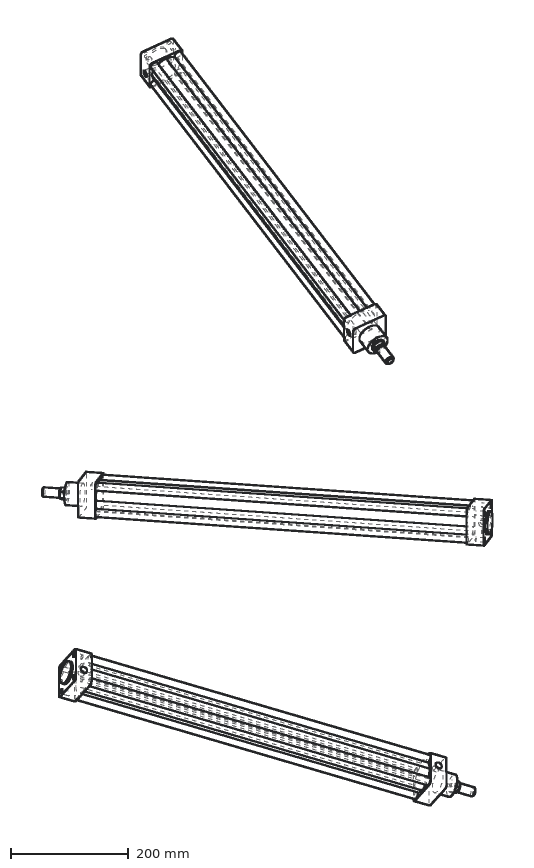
import cadquery as cq
import math


overall_length = 779.0
rear_boss_length = 4.0
front_cap_start = 680.0
cap_length = 29.5
collar_length = 27.0
lip_length = 2.0
shank_length = 9.0
shoulder_taper = 2.0

cap_side = 65.0
cap_corner_radius = 5.5
boss_diameter = 40.0
lip_diameter = 23.0
screw_pitch = 47.0
screw_hole_diameter = 8.0
screw_hole_depth = 15.5
port_diameter = 12.0
port_depth = 12.0
port_offset = 8.5

tube_diameter = 54.5
lobe_diameter = 14.0
ridge_width = 12.0

rod_diameter = 20.0
thread_diameter = 16.0
flats_width = 17.0
tip_chamfer = 2.0

rear_cap_end = rear_boss_length + cap_length
front_cap_end = front_cap_start + cap_length
collar_end = front_cap_end + collar_length
lip_end = collar_end + lip_length


def section_at(x):
    """Workplane across the cylinder: local x is +Y, local y is +Z, extruding toward +X."""
    return cq.Workplane("YZ", origin=(x, 0, 0))


def disc(x, diameter, length):
    return section_at(x).circle(diameter / 2).extrude(length)


def make_cap_block(x, length, port_z):
    """Square block with rounded long edges and a blind port in its -Y face."""
    block = section_at(x).rect(cap_side, cap_side).extrude(length)
    block = block.edges("|X").fillet(cap_corner_radius)
    port = (
        cq.Workplane("XZ", origin=(x + length / 2, -cap_side / 2, port_z))
        .circle(port_diameter / 2)
        .extrude(-port_depth)
    )
    return block.cut(port)


def make_rear_cap():
    cap = make_cap_block(rear_boss_length, cap_length, -port_offset)
    cap = cap.union(disc(0, boss_diameter, rear_boss_length))
    screw_holes = (
        section_at(rear_boss_length)
        .rect(screw_pitch, screw_pitch, forConstruction=True)
        .vertices()
        .circle(screw_hole_diameter / 2)
        .extrude(screw_hole_depth)
    )
    return cap.cut(screw_holes)


def make_front_cap():
    cap = make_cap_block(front_cap_start, cap_length, port_offset)
    cap = cap.union(disc(front_cap_end, boss_diameter, collar_length))
    return cap.union(disc(collar_end, lip_diameter, lip_length))


def make_ridge(length):
    """Low ridge of two flats tangent to the top of the tube, reaching down to the X axis."""
    half_width = ridge_width / 2
    tube_radius = tube_diameter / 2
    eave_height = math.sqrt(tube_radius**2 - half_width**2)
    crest_height = tube_radius**2 / eave_height
    outline = [
        (-half_width, 0),
        (half_width, 0),
        (half_width, eave_height),
        (0, crest_height),
        (-half_width, eave_height),
    ]
    return section_at(rear_cap_end).polyline(outline).close().extrude(length)


def make_barrel():
    """Round tube with a rod-like lobe along each corner and a ridge along each side."""
    length = front_cap_start - rear_cap_end
    lobes = (
        section_at(rear_cap_end)
        .rect(screw_pitch, screw_pitch, forConstruction=True)
        .vertices()
        .circle(lobe_diameter / 2)
        .extrude(length)
    )
    barrel = disc(rear_cap_end, tube_diameter, length).union(lobes)
    ridge = make_ridge(length)
    for side in range(4):
        barrel = barrel.union(ridge.rotate((0, 0, 0), (1, 0, 0), 90 * side))
    return barrel


def make_rod():
    """Shank with two wrench flats facing -Y and +Y, tapering to a chamfered threaded end."""
    shank_end = lip_end + shank_length
    shoulder_drop = (rod_diameter - thread_diameter) / 2
    shank = disc(lip_end, rod_diameter, shank_length)
    shank = shank.faces(">X").chamfer(shoulder_taper, shoulder_drop)

    flats_length = shank_length - shoulder_taper
    between_flats = section_at(lip_end).rect(flats_width, rod_diameter).extrude(flats_length)
    round_shoulder = disc(lip_end + flats_length, rod_diameter, shoulder_taper)
    shank = shank.intersect(between_flats.union(round_shoulder))

    thread = disc(shank_end, thread_diameter, overall_length - shank_end)
    return shank.union(thread.faces(">X").chamfer(tip_chamfer))


rear_cap = make_rear_cap()
barrel = make_barrel()
front_cap = make_front_cap()
rod = make_rod()

result = cq.Compound.makeCompound([rear_cap.val(), barrel.val(), front_cap.val(), rod.val()])